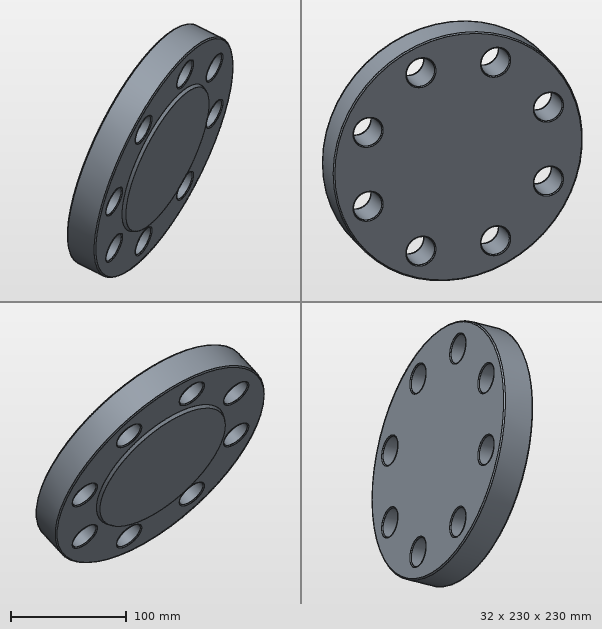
import cadquery as cq

flange_diameter = 230.0
total_thickness = 32.0
raised_height = 3.0
plate_thickness = total_thickness - raised_height
raised_face_diameter = 138.0
raised_base_diameter = raised_face_diameter + raised_height
rim_chamfer = 1.2

bolt_count = 8
bolt_circle_diameter = 180.0
bolt_hole_diameter = 26.0
hole_chamfer = 1.0

plate_back_x = -total_thickness / 2
plate_front_x = plate_back_x + plate_thickness
raised_face_x = total_thickness / 2


def flange_body():
    """Revolve the half section: chamfered plate with a tapered raised face."""
    radius = flange_diameter / 2
    section = [
        (plate_back_x, 0),
        (plate_back_x, radius - rim_chamfer),
        (plate_back_x + rim_chamfer, radius),
        (plate_front_x - rim_chamfer, radius),
        (plate_front_x, radius - rim_chamfer),
        (plate_front_x, raised_base_diameter / 2),
        (raised_face_x, raised_face_diameter / 2),
        (raised_face_x, 0),
    ]
    return cq.Workplane("XY").polyline(section).close().revolve(360, (0, 0), (1, 0))


def bolt_hole_cutter():
    """Through hole on the X axis, chamfered at both faces of the plate."""
    radius = bolt_hole_diameter / 2
    mouth_radius = radius + hole_chamfer
    section = [
        (plate_back_x, 0),
        (plate_back_x, mouth_radius),
        (plate_back_x + hole_chamfer, radius),
        (plate_front_x - hole_chamfer, radius),
        (plate_front_x, mouth_radius),
        (plate_front_x, 0),
    ]
    return cq.Workplane("XY").polyline(section).close().revolve(360, (0, 0), (1, 0))


result = flange_body()

hole_pitch = 360 / bolt_count
first_hole = bolt_hole_cutter().translate((0, bolt_circle_diameter / 2, 0))
for index in range(bolt_count):
    angle = (index + 0.5) * hole_pitch
    result = result.cut(first_hole.rotate((0, 0, 0), (1, 0, 0), angle))